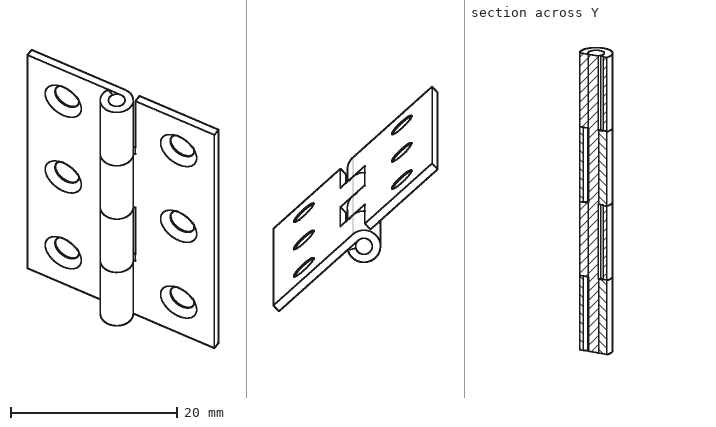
import cadquery as cq
import math

HEIGHT = 38.0
WIDTH = 26.0
KNUCKLE_DIAMETER = 4.0
KNUCKLE_RADIUS = KNUCKLE_DIAMETER / 2
PIN_RADIUS = KNUCKLE_RADIUS / 2
LEAF_THICKNESS = KNUCKLE_RADIUS - PIN_RADIUS

KNUCKLE_COUNT = 4
KNUCKLE_HEIGHT = HEIGHT / KNUCKLE_COUNT
CURL_END_ANGLE = 151.0
CURL_MID_ANGLE = (CURL_END_ANGLE - 270) / 2

HOLE_OFFSET = 8.0
HOLE_PITCH = 13.5
HOLES_PER_LEAF = 3
HOLE_DIAMETER = 3.3
COUNTERSINK_DIAMETER = 5.0
COUNTERSINK_ANGLE = 90.0


def polar(radius, degrees):
    """Point on a circle around the pin axis."""
    angle = math.radians(degrees)
    return (radius * math.cos(angle), radius * math.sin(angle))


def make_plate():
    """Flat part of a leaf, stopping level with the side of the knuckles."""
    plate_width = WIDTH / 2 - KNUCKLE_RADIUS
    return cq.Workplane("XY").box(plate_width, LEAF_THICKNESS, HEIGHT, centered=False).translate(
        (-WIDTH / 2, PIN_RADIUS, -HEIGHT / 2)
    )


def make_knuckle(bottom):
    """Strip that runs on from the plate and rolls around the pin from bottom upward."""
    return (
        cq.Workplane("XY", origin=(0, 0, bottom))
        .moveTo(-KNUCKLE_RADIUS, KNUCKLE_RADIUS)
        .lineTo(0, KNUCKLE_RADIUS)
        .threePointArc(polar(KNUCKLE_RADIUS, CURL_MID_ANGLE), polar(KNUCKLE_RADIUS, CURL_END_ANGLE))
        .lineTo(*polar(PIN_RADIUS, CURL_END_ANGLE))
        .threePointArc(polar(PIN_RADIUS, CURL_MID_ANGLE), (0, PIN_RADIUS))
        .lineTo(-KNUCKLE_RADIUS, PIN_RADIUS)
        .close()
        .extrude(KNUCKLE_HEIGHT)
    )


def cut_screw_holes(leaf):
    """Column of screw holes, countersunk from the knuckle side."""
    middle = (HOLES_PER_LEAF - 1) / 2
    centres = [(-HOLE_OFFSET, (i - middle) * HOLE_PITCH) for i in range(HOLES_PER_LEAF)]
    return (
        cq.Workplane("XZ", origin=(0, PIN_RADIUS, 0))
        .add(leaf)
        .pushPoints(centres)
        .cskHole(HOLE_DIAMETER, COUNTERSINK_DIAMETER, COUNTERSINK_ANGLE)
    )


def make_leaf():
    """Left leaf, with the second and top knuckles counted from the bottom."""
    leaf = make_plate()
    for index in range(1, KNUCKLE_COUNT, 2):
        leaf = leaf.union(make_knuckle(-HEIGHT / 2 + index * KNUCKLE_HEIGHT))
    return cut_screw_holes(leaf).solids()


def make_pin():
    """Pin filling the knuckles, flush with both ends."""
    return cq.Workplane("XY").circle(PIN_RADIUS).extrude(HEIGHT / 2, both=True)


left_leaf = make_leaf()
right_leaf = left_leaf.rotate((0, 0, 0), (0, 1, 0), 180)
pin = make_pin()

result = cq.Compound.makeCompound([left_leaf.val(), right_leaf.val(), pin.val()])